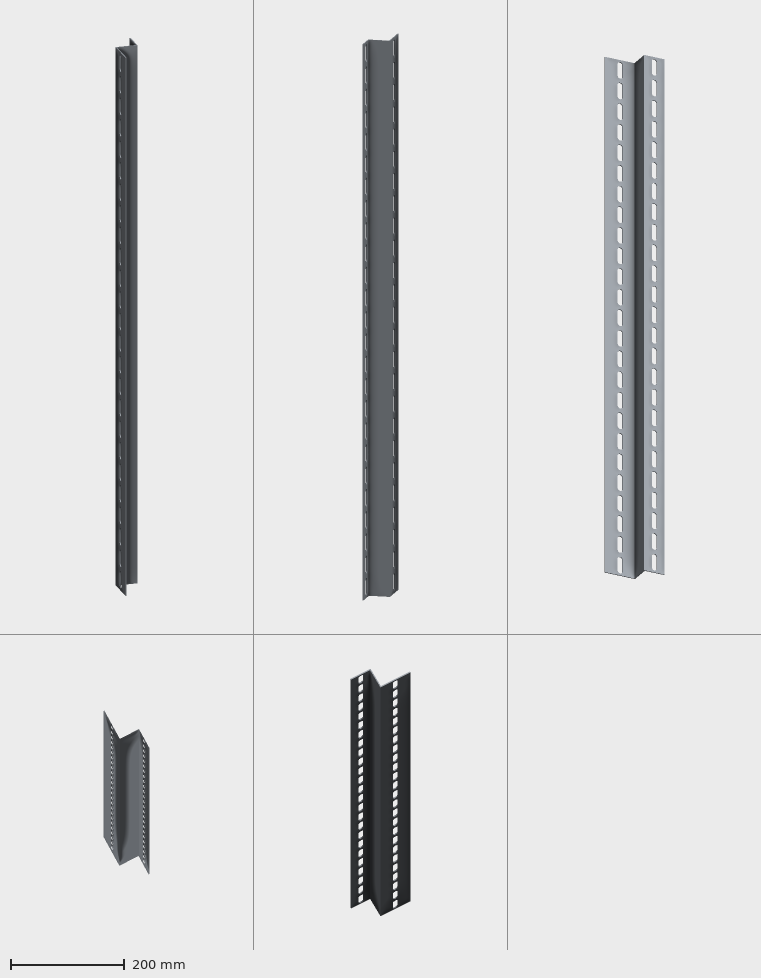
import cadquery as cq

length = 1000.0
rear_flange_width = 40.0
front_flange_width = 60.0
depth = 40.0
thickness = 2.0
overall_width = rear_flange_width + front_flange_width - thickness

slot_pitch = 40.0
slot_count = int(length / slot_pitch)
slot_length = 32.0
slot_width = 10.0

left = -overall_width / 2
right = overall_width / 2
front = -depth / 2
rear = depth / 2
web_right = left + rear_flange_width
web_left = web_right - thickness


def z_profile():
    """Sheet profile: rear flange to the left, web, front flange to the right."""
    outline = [
        (left, rear),
        (web_right, rear),
        (web_right, front + thickness),
        (right, front + thickness),
        (right, front),
        (web_left, front),
        (web_left, rear - thickness),
        (left, rear - thickness),
    ]
    return cq.Workplane("XY").polyline(outline).close().extrude(length / 2, both=True)


def slot_row(x, flange_front):
    """Column of vertical slots at x, cut through the flange behind flange_front."""
    return (
        cq.Workplane("XZ", origin=(x, flange_front, 0))
        .rarray(10, slot_pitch, 1, slot_count)
        .slot2D(slot_length, slot_width, angle=90)
        .extrude(-thickness)
    )


rear_slots = slot_row(left + rear_flange_width / 2, rear - thickness)
front_slots = slot_row(right - front_flange_width / 2, front)

result = z_profile().cut(rear_slots).cut(front_slots)